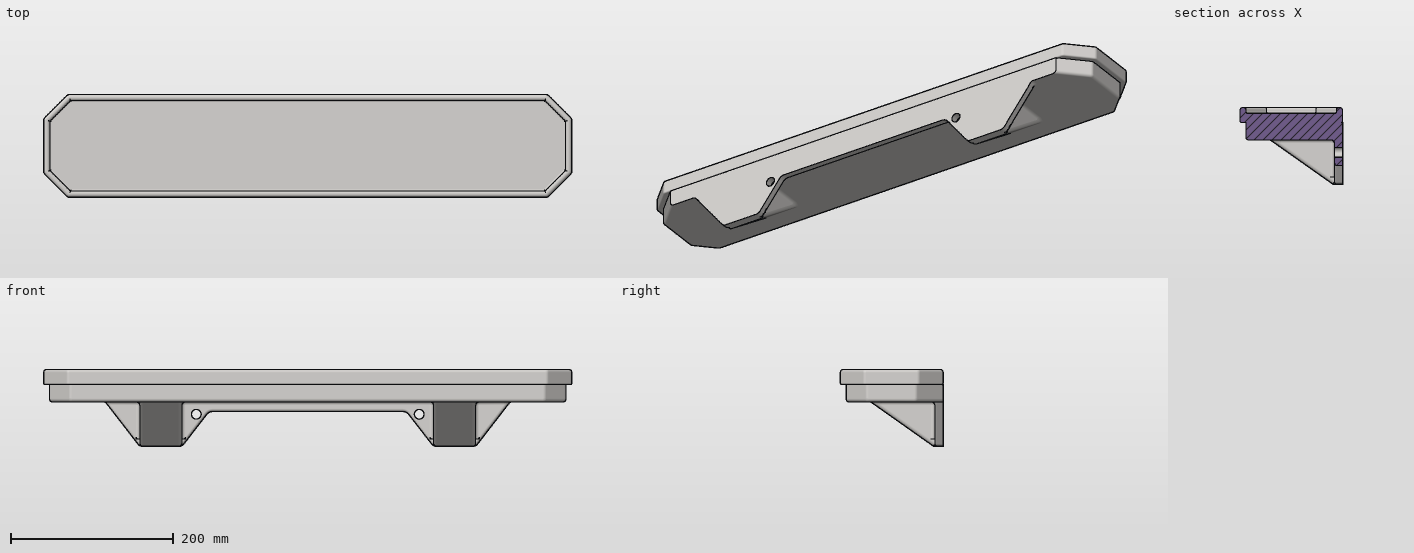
import cadquery as cq
import math

length = 650.0
depth = 127.0
height = 95.0
back = depth / 2

pick_margin = 0.5

tray_thickness = 19.0
base_thickness = 21.5
corner_cut = 30.0
base_inset = 7.0
upright_radius = 5.0
edge_radius = 4.0
tray_lower_radius = 2.0
tray_bottom = height - tray_thickness
base_bottom = tray_bottom - base_thickness

rim_width = 8.0
mouth_radius = 3.0
recess_floor_radius = 2.0
recess_depth = 7.0

plate_thickness = 10.5
bracket_center = 181.0
bracket_foot = 52.0
bracket_top = 136.5
web_drop = 12.0
web_corner_radius = 10.0
foot_corner_radius = 8.0
plate_edge_radius = 3.0
plate_front = back - plate_thickness

gusset_width = bracket_foot
gusset_reach = 89.0
gusset_toe = 12.0
gusset_edge_radius = 4.5
root_radius = 4.5
root_start = 9.0

overlap = 6.5

base_root_radius = 4.0

hole_diameter = 12.0
hole_offset = 137.0
hole_height = 39.5


def octagon(inset, back_inset):
    """Outline with 45 degree corner cuts, all sides moved inwards by inset except the back one."""
    cut_shift = inset * math.tan(math.pi / 8)
    side = length / 2 - inset
    front = -depth / 2 + inset
    rear = back - back_inset
    cut_end_y = depth / 2 - corner_cut - cut_shift
    front_x = length / 2 - corner_cut - cut_shift
    rear_x = side - (rear - cut_end_y)
    return [
        (-front_x, front), (front_x, front),
        (side, -cut_end_y), (side, cut_end_y),
        (rear_x, rear), (-rear_x, rear),
        (-side, cut_end_y), (-side, -cut_end_y),
    ]


def make_tray():
    """Upper slab with rounded edges and a shallow recess that leaves a raised rim."""
    tray = (
        cq.Workplane("XY", origin=(0, 0, tray_bottom))
        .polyline(octagon(0, 0)).close().extrude(tray_thickness)
        .edges("|Z").fillet(upright_radius)
        .faces(">Z").edges().fillet(edge_radius)
    )
    tray = tray.faces("<Z").edges().fillet(tray_lower_radius)
    recess = (
        cq.Workplane("XY", origin=(0, 0, height - recess_depth))
        .polyline(octagon(rim_width, rim_width)).close().extrude(recess_depth)
    )
    recess = recess.faces("<Z").edges().fillet(recess_floor_radius)
    tray = tray.cut(recess)
    crest = edge_radius + pick_margin
    mouth = cq.selectors.BoxSelector(
        (-length / 2 + crest, -depth / 2 + crest, height - pick_margin),
        (length / 2 - crest, depth / 2 - crest, height + pick_margin),
    )
    return tray.edges(mouth).fillet(mouth_radius)


def make_base():
    """Lower slab, set in from the tray on all sides but flush with it at the back."""
    upright_edges = cq.selectors.BoxSelector(
        (-length, -depth, 0), (length, back - pick_margin, height)
    )
    return (
        cq.Workplane("XY", origin=(0, 0, base_bottom))
        .polyline(octagon(base_inset, 0)).close().extrude(base_thickness)
        .edges("|Z").edges(upright_edges).fillet(upright_radius)
        .faces("<Z").edges("not(>Y)").fillet(edge_radius)
    )


def make_plate():
    """Wall plate: a shallow web joining two tapered brackets, front edges rounded."""
    foot_in = bracket_center - bracket_foot / 2
    foot_out = bracket_center + bracket_foot / 2
    top_out = bracket_center + bracket_top / 2
    web_z = base_bottom - web_drop
    taper = (top_out - foot_out) / base_bottom
    web_x = foot_in - taper * web_z
    plate_top = base_bottom + overlap
    right_half = [
        (web_x, web_z), (foot_in, 0), (foot_out, 0),
        (top_out, base_bottom), (top_out, plate_top),
    ]
    left_half = [(-x, z) for x, z in reversed(right_half)]
    plate = (
        cq.Workplane("XZ", origin=(0, back, 0))
        .polyline(right_half + left_half).close().extrude(plate_thickness)
    )
    web_corners = cq.selectors.BoxSelector(
        (-web_x - pick_margin, -depth, web_z - pick_margin),
        (web_x + pick_margin, depth, web_z + pick_margin),
    )
    plate = plate.edges("|Y").edges(web_corners).fillet(web_corner_radius)
    plate = plate.edges("|Y").edges("<Z").fillet(foot_corner_radius)
    return plate.faces("<Y").edges("not(|Z or >Z)").fillet(plate_edge_radius)


def make_gusset(x):
    """Triangular gusset with rounded lower edges and concave roots against the wall plate."""
    gusset_top = base_bottom + overlap
    half_width = gusset_width / 2
    gusset = (
        cq.Workplane("YZ", origin=(-half_width, 0, 0))
        .moveTo(back, 0)
        .lineTo(back - gusset_toe, 0)
        .lineTo(back - gusset_reach, base_bottom)
        .lineTo(back - gusset_reach, gusset_top)
        .lineTo(back, gusset_top)
        .close().extrude(gusset_width)
    )
    for end in ("<X", ">X"):
        gusset = gusset.faces(end).edges("not(|Z or >Z)").fillet(gusset_edge_radius)
    root_end = half_width + root_radius
    roots = (
        cq.Workplane("XY", origin=(0, 0, root_start))
        .moveTo(root_end, plate_front)
        .radiusArc((half_width, plate_front - root_radius), -root_radius)
        .lineTo(-half_width, plate_front - root_radius)
        .radiusArc((-root_end, plate_front), -root_radius)
        .close().extrude(gusset_top - root_start)
    )
    return gusset.union(roots).translate((x, 0, 0))


def round_base_roots(body):
    """Round the inner corner where the plate and gussets leave the base."""
    top_out = bracket_center + bracket_top / 2
    front = back - gusset_reach
    junction = cq.selectors.BoxSelector(
        (-top_out - pick_margin, front - pick_margin, base_bottom - pick_margin),
        (top_out + pick_margin, back - pick_margin, base_bottom + pick_margin),
        boundingbox=True,
    )
    return body.edges(junction).fillet(base_root_radius)


body = make_base().union(make_plate())
for side in (-1, 1):
    body = body.union(make_gusset(side * bracket_center))
body = round_base_roots(body).union(make_tray())

holes = (
    cq.Workplane("XZ", origin=(0, back, 0))
    .pushPoints([(-hole_offset, hole_height), (hole_offset, hole_height)])
    .circle(hole_diameter / 2).extrude(plate_thickness)
)
result = body.cut(holes)